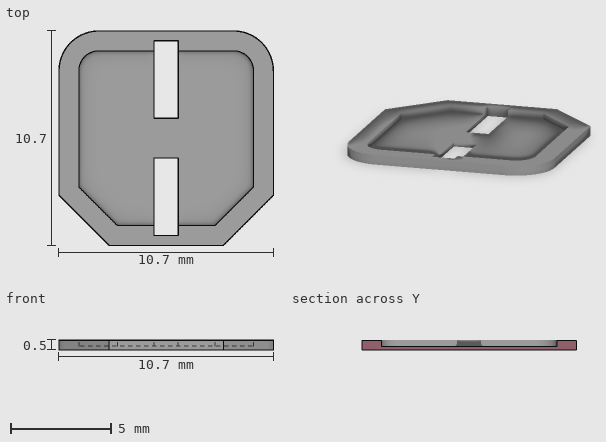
import cadquery as cq
import math

side = 10.7
thickness = 0.5
corner_radius = 2.0
corner_chamfer = 2.5

rim_width = 1.0
recess_depth = 0.3

slot_width = 1.2
slot_edge_gap = 0.5
slot_spacing = 2.0
slot_length = (side - 2 * slot_edge_gap - slot_spacing) / 2
slot_center = (slot_spacing + slot_length) / 2


def rounded_plate(width, radius, chamfer, height):
    """Square plate with rounded +Y corners and chamfered -Y corners."""
    return (
        cq.Workplane("XY")
        .box(width, width, height, centered=(True, True, False))
        .edges("|Z and >Y")
        .fillet(radius)
        .edges("|Z and <Y")
        .chamfer(chamfer)
    )


plate = rounded_plate(side, corner_radius, corner_chamfer, thickness)

chamfer_reduction = rim_width * (2 - math.sqrt(2))
recess = rounded_plate(
    side - 2 * rim_width,
    corner_radius - rim_width,
    corner_chamfer - chamfer_reduction,
    recess_depth,
).translate((0, 0, thickness - recess_depth))

slots = (
    cq.Workplane("XY")
    .pushPoints([(0, slot_center), (0, -slot_center)])
    .rect(slot_width, slot_length)
    .extrude(thickness)
)

result = plate.cut(recess).cut(slots)